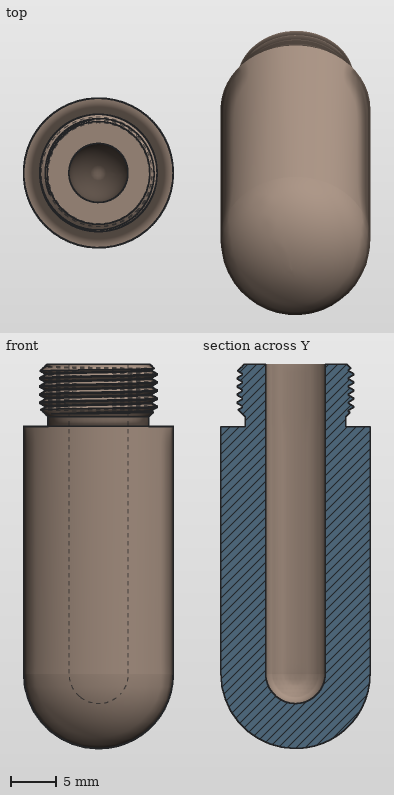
import cadquery as cq
import math

body_diameter = 16.6
total_height = 42.6
body_radius = body_diameter / 2

spigot_height = 6.9
neck_diameter = 11.2
neck_height = 1.1
thread_diameter = 13.0
thread_pitch = 0.9
thread_depth = 0.6
flank_angle = 60.0
crest_width = thread_pitch / 8
top_face_diameter = 11.4
crest_drop_at_minus_x = 0.67

bore_diameter = 6.55
bore_radius = bore_diameter / 2

dome_center_z = body_radius
shoulder_z = total_height - spigot_height
thread_bottom_z = shoulder_z + neck_height
thread_length = total_height - thread_bottom_z

thread_radius = thread_diameter / 2
root_radius = thread_radius - thread_depth
embed_depth = 0.05
envelope_clearance = 0.15


def round_ended_bar(radius, top_z):
    """Vertical bar with a flat top and a hemispherical lower end centred on the dome centre."""
    diagonal = radius * math.sqrt(0.5)
    return (
        cq.Workplane("XZ")
        .moveTo(0, dome_center_z - radius)
        .threePointArc((diagonal, dome_center_z - diagonal), (radius, dome_center_z))
        .lineTo(radius, top_z)
        .lineTo(0, top_z)
        .close()
        .revolve(360, (0, 0, 0), (0, 1, 0))
    )


def cylinder(diameter, bottom_z, height):
    return cq.Workplane("XY").workplane(offset=bottom_z).circle(diameter / 2).extrude(height)


def chamfered_blank(diameter):
    """Thread-length cylinder with 45 degree cones narrowing to the top face and to the neck."""
    radius = diameter / 2
    top_radius = top_face_diameter / 2
    bottom_radius = neck_diameter / 2
    return (
        cq.Workplane("XZ")
        .moveTo(0, thread_bottom_z)
        .lineTo(bottom_radius, thread_bottom_z)
        .lineTo(radius, thread_bottom_z + radius - bottom_radius)
        .lineTo(radius, total_height - (radius - top_radius))
        .lineTo(top_radius, total_height)
        .lineTo(0, total_height)
        .close()
        .revolve(360, (0, 0, 0), (0, 1, 0))
    )


def thread_ridge():
    """Right-handed helical ridge that runs past both ends of the thread."""
    turns_above_first_crest = 2
    turns = math.ceil(thread_length / thread_pitch) + 2 * turns_above_first_crest
    start_z = total_height - crest_drop_at_minus_x - (turns - turns_above_first_crest) * thread_pitch
    half_crest = crest_width / 2
    half_base = half_crest + (thread_depth + embed_depth) * math.tan(math.radians(flank_angle / 2))
    base_radius = root_radius - embed_depth
    helix = cq.Wire.makeHelix(thread_pitch, turns * thread_pitch, base_radius)
    ridge = (
        cq.Workplane("XZ")
        .moveTo(base_radius, -half_base)
        .lineTo(thread_radius, -half_crest)
        .lineTo(thread_radius, half_crest)
        .lineTo(base_radius, half_base)
        .close()
        .sweep(cq.Workplane(obj=helix), isFrenet=True)
    )
    return ridge.rotate((0, 0, 0), (0, 0, 1), 180).translate((0, 0, start_z))


def thread():
    core = chamfered_blank(2 * root_radius)
    ridge = thread_ridge().intersect(chamfered_blank(thread_diameter + 2 * envelope_clearance))
    return core.union(ridge)


body = round_ended_bar(body_radius, shoulder_z)
neck = cylinder(neck_diameter, shoulder_z, neck_height)
bore = round_ended_bar(bore_radius, total_height)

result = body.union(neck).union(thread()).cut(bore)